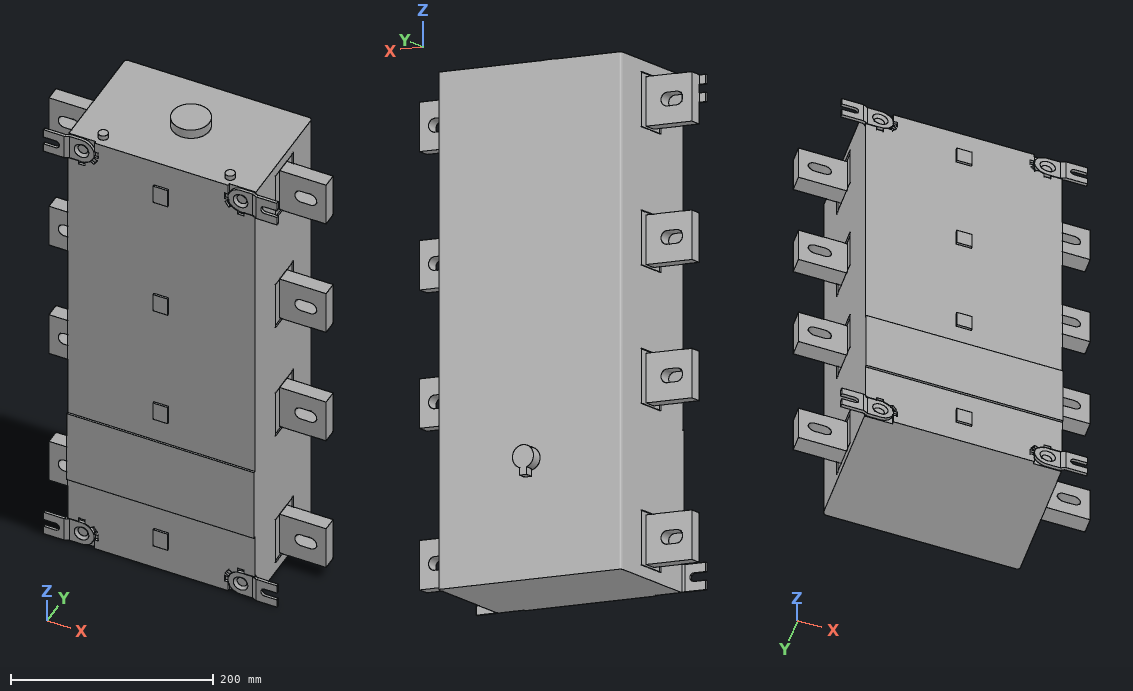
import cadquery as cq
import math

total_height = 534.5
disc_height = 10.5
body_width = 206.5
body_depth = 129.5
body_height = total_height - disc_height
back_edge_radius = 4.0

bar_span = 306.0
bar_thickness = 16.0
bar_height = 50.0
bar_y = 67.0
top_bar_z = 483.5
bar_pitch = 140.0
bottom_bar_z = 40.0
evenly_spaced_bars = 3
bar_levels = [top_bar_z - i * bar_pitch for i in range(evenly_spaced_bars)] + [bottom_bar_z]
bar_slot_length = 24.0
bar_slot_width = 14.0
bar_slot_x = 130.5
recess_width = 40.5
recess_height = 55.5
recess_depth = 1.5

raised_height = 2.0
pad_width = 16.0
pad_height = 21.0
band_bottom = 80.0
band_top = 165.0

disc_radius = 20.5
pin_radius = 5.1
pin_height = 5.5
pin_x = 70.0
pin_y = 12.5

knob_radius = 12.0
knob_height = 14.0
knob_z = 122.0
pointer_width = 8.0
pointer_reach = 18.5
pointer_gap = 3.0

foot_x = 87.5
foot_inset = 15.0
foot_half_height = 14.0
pocket_depth = 2.5
foot_proud = 0.5
foot_thickness = pocket_depth + foot_proud
foot_step = 2.5
step_outer_x = 106.0
step_inner_x = 101.0
foot_tip_x = 129.0
foot_slot_end_x = 111.0
foot_slot_width = 8.5
hole_mouth_radius = 8.0
hole_floor_radius = 5.5
notch_reach = 18.0
notch_width = 7.0
notch_angles = (180, 213, 270)


def box(x_range, y_range, z_range):
    """A box between the given limits along each axis."""
    sizes = [end - start for start, end in (x_range, y_range, z_range)]
    return cq.Workplane("XY").box(*sizes, centered=False).translate(
        (x_range[0], y_range[0], z_range[0])
    )


def centred_box(width, y_range, height, x, z):
    """A box centred on (x, z) in the front plane."""
    return box((x - width / 2, x + width / 2), y_range, (z - height / 2, z + height / 2))


def mirrored_in_x(shape):
    """The shape together with its mirror image on the other side."""
    return shape.union(shape.mirror("YZ"))


def at_four_corners(shape):
    """The shape at the upper right corner, repeated at the other three."""
    right = shape.union(shape.mirror("XY", (0, 0, body_height / 2)))
    return mirrored_in_x(right)


def front_plane(y):
    """A workplane facing the front (-Y), with X to the right and Z up."""
    return cq.Workplane("XZ", origin=(0, y, 0))


def make_housing():
    """Plain housing block with its upright back edges rounded."""
    half_width = body_width / 2
    housing = box((-half_width, half_width), (0, body_depth), (0, body_height))
    return housing.edges("|Z and >Y").fillet(back_edge_radius)


def make_front_relief():
    """Full-width raised band and one small pad at each bar level on the front face."""
    half_width = body_width / 2
    front = (-raised_height, 0)
    relief = box((-half_width, half_width), front, (band_bottom, band_top))
    for z in bar_levels:
        relief = relief.union(centred_box(pad_width, front, pad_height, 0, z))
    return relief


def make_bar_recesses():
    """Shallow recess around every bar on both sides."""
    half_width = body_width / 2
    y_range = (bar_y - recess_width / 2, bar_y + recess_width / 2)
    recesses = cq.Workplane("XY")
    for z in bar_levels:
        z_range = (z - recess_height / 2, z + recess_height / 2)
        recesses = recesses.union(box((half_width - recess_depth, half_width), y_range, z_range))
    return mirrored_in_x(recesses)


def make_bars():
    """Slotted bars running through the housing from side to side."""
    y_range = (bar_y - bar_thickness / 2, bar_y + bar_thickness / 2)
    bars = cq.Workplane("XY")
    for z in bar_levels:
        bar = centred_box(bar_span, y_range, bar_height, 0, z)
        slots = (
            front_plane(y_range[1])
            .pushPoints([(-bar_slot_x, z), (bar_slot_x, z)])
            .slot2D(bar_slot_length, bar_slot_width)
            .extrude(bar_thickness)
        )
        bars = bars.union(bar.cut(slots))
    return bars


def make_top_fittings():
    """Disc and two pins on the top face."""
    top = cq.Workplane("XY", origin=(0, 0, body_height))
    disc = top.center(0, bar_y).circle(disc_radius).extrude(disc_height)
    pins = top.pushPoints([(-pin_x, pin_y), (pin_x, pin_y)]).circle(pin_radius).extrude(pin_height)
    return disc.union(pins)


def make_knob():
    """Round knob with a downward pointer held clear of the back face."""
    knob_back = body_depth + knob_height
    knob = front_plane(knob_back).center(0, knob_z).circle(knob_radius).extrude(knob_height)
    pointer = box(
        (-pointer_width / 2, pointer_width / 2),
        (body_depth + pointer_gap, knob_back),
        (knob_z - pointer_reach, knob_z),
    )
    return knob.union(pointer)


def make_foot_pocket():
    """Pocket at the upper right corner, square to the edges and rounded like the foot it holds."""
    z = body_height - foot_inset
    half_width = body_width / 2
    inner_end = foot_x - foot_half_height
    diagonal = foot_half_height * math.sqrt(0.5)
    floor = front_plane(pocket_depth)
    pocket = (
        floor.moveTo(half_width, body_height)
        .lineTo(inner_end, body_height)
        .lineTo(inner_end, z)
        .threePointArc((foot_x - diagonal, z - diagonal), (foot_x, z - foot_half_height))
        .lineTo(half_width, z - foot_half_height)
        .close()
        .extrude(pocket_depth)
    )
    for angle in notch_angles:
        notch = (
            floor.center(foot_x, z)
            .transformed(rotate=(0, 0, angle))
            .center(notch_reach / 2, 0)
            .rect(notch_reach, notch_width)
            .extrude(pocket_depth)
        )
        pocket = pocket.union(notch)
    return pocket


def make_foot():
    """Foot at the upper right corner: a round-ended plate stepped forward to a slotted tab."""
    z = body_height - foot_inset
    inner_end = foot_x - foot_half_height
    profile = (
        cq.Workplane("XY", origin=(0, 0, z - foot_half_height))
        .moveTo(inner_end, -foot_proud)
        .lineTo(step_inner_x, -foot_proud)
        .lineTo(step_outer_x, -foot_step)
        .lineTo(foot_tip_x, -foot_step)
        .lineTo(foot_tip_x, foot_thickness - foot_step)
        .lineTo(step_outer_x, foot_thickness - foot_step)
        .lineTo(step_inner_x, pocket_depth)
        .lineTo(inner_end, pocket_depth)
        .close()
        .extrude(2 * foot_half_height)
    )
    outline = (
        front_plane(pocket_depth)
        .moveTo(foot_tip_x, z + foot_half_height)
        .lineTo(foot_x, z + foot_half_height)
        .threePointArc((inner_end, z), (foot_x, z - foot_half_height))
        .lineTo(foot_tip_x, z - foot_half_height)
        .close()
        .extrude(pocket_depth + foot_step)
    )
    slot_length = 2 * (foot_tip_x - foot_slot_end_x)
    slot = (
        front_plane(pocket_depth)
        .center(foot_tip_x, z)
        .slot2D(slot_length, foot_slot_width)
        .extrude(pocket_depth + foot_step)
    )
    hole = cq.Workplane(
        cq.Solid.makeCone(
            hole_mouth_radius,
            hole_floor_radius,
            foot_thickness,
            cq.Vector(foot_x, -foot_proud, z),
            cq.Vector(0, 1, 0),
        )
    )
    return profile.intersect(outline).cut(slot).cut(hole)


result = (
    make_housing()
    .cut(make_bar_recesses())
    .cut(at_four_corners(make_foot_pocket()))
    .union(make_front_relief())
    .union(make_bars())
    .union(make_top_fittings())
    .union(make_knob())
    .union(at_four_corners(make_foot()))
)